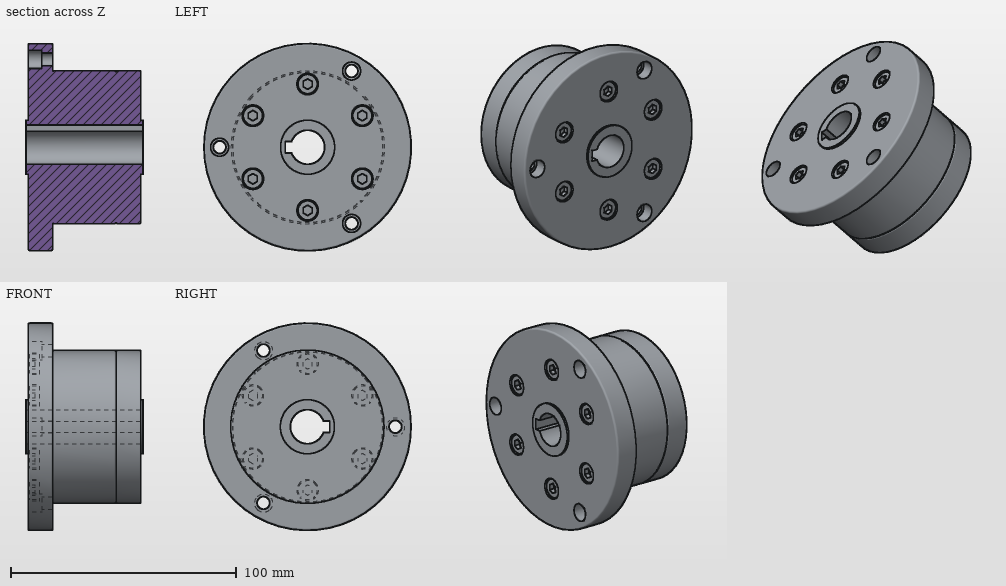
import cadquery as cq
import math

flange_thickness = 11.0
barrel_end = 39.0
cap_end = 50.0
hub_projection = 1.0

flange_diameter = 92.0
barrel_diameter = 68.0
hub_diameter = 24.0
bore_diameter = 15.0

flange_rim_radius = 0.9
barrel_front_radius = 0.6
barrel_back_radius = 0.8
cap_rim_radius = 0.6

key_width = 5.0
key_reach = 9.8

mount_count = 3
mount_circle_radius = 39.0
mount_first_angle = 0.0
mount_hole_diameter = 5.5
mount_counterbore_diameter = 8.0
mount_counterbore_depth = 6.0

screw_count = 6
screw_circle_radius = 28.0
screw_first_angle = 90.0
screw_recess_diameter = 9.5
screw_recess_depth = 5.0
screw_head_diameter = 8.5
screw_head_sink = 0.5
screw_head_rim_radius = 0.2
screw_socket_across_flats = 4.0
screw_socket_depth = 2.5
socket_sides = 6

full_turn = 360.0
hub_start = -hub_projection
hub_length = cap_end + 2 * hub_projection


def disc(start, length, diameter):
    """Cylinder on the X axis, from x = start to x = start + length."""
    return cq.Workplane("YZ", origin=(start, 0, 0)).circle(diameter / 2).extrude(length)


def circle_points(count, radius, first_angle):
    """(Y, Z) places evenly spaced on a circle; angles run from +Y toward +Z."""
    angles = [math.radians(first_angle + i * full_turn / count) for i in range(count)]
    return [(radius * math.cos(a), radius * math.sin(a)) for a in angles]


def make_body():
    flange = disc(0, flange_thickness, flange_diameter).edges().fillet(flange_rim_radius)
    barrel = disc(flange_thickness, barrel_end - flange_thickness, barrel_diameter)
    barrel = barrel.faces("<X").edges().fillet(barrel_front_radius)
    barrel = barrel.faces(">X").edges().fillet(barrel_back_radius)
    cap = disc(barrel_end, cap_end - barrel_end, barrel_diameter).edges().fillet(cap_rim_radius)
    hub = disc(hub_start, hub_length, hub_diameter)
    return flange.union(barrel).union(cap).union(hub)


def make_keyed_bore():
    bore = disc(hub_start, hub_length, bore_diameter)
    keyway = (
        cq.Workplane("YZ", origin=(hub_start, 0, 0))
        .center(key_reach / 2, 0)
        .rect(key_reach, key_width)
        .extrude(hub_length)
    )
    return bore.union(keyway)


def make_mount_hole():
    hole = disc(0, flange_thickness, mount_hole_diameter)
    return hole.union(disc(0, mount_counterbore_depth, mount_counterbore_diameter))


def make_screw_head():
    head = disc(screw_head_sink, screw_recess_depth - screw_head_sink, screw_head_diameter)
    head = head.faces("<X").edges().fillet(screw_head_rim_radius)
    socket = (
        cq.Workplane("YZ", origin=(screw_head_sink, 0, 0))
        .polygon(socket_sides, screw_socket_across_flats, circumscribed=True)
        .extrude(screw_socket_depth)
    )
    return head.cut(socket)


result = make_body().cut(make_keyed_bore())

mount_hole = make_mount_hole()
for y, z in circle_points(mount_count, mount_circle_radius, mount_first_angle):
    result = result.cut(mount_hole.translate((0, y, z)))

screw_recess = disc(0, screw_recess_depth, screw_recess_diameter).cut(make_screw_head())
for y, z in circle_points(screw_count, screw_circle_radius, screw_first_angle):
    result = result.cut(screw_recess.translate((0, y, z)))